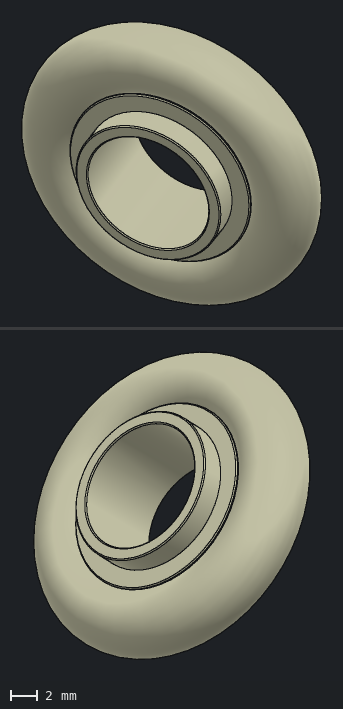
import cadquery as cq

outer_diameter = 24.3
ring_section_diameter = 5.35
hub_length = 8.0
hub_diameter = 12.0
bore_diameter = 10.0
flange_diameter = 15.0
flange_width = 4.0
edge_chamfer = 0.1

section_radius = ring_section_diameter / 2
ring_center_radius = outer_diameter / 2 - section_radius


def disc(diameter, width):
    """Cylinder along Y, centred on the origin."""
    return cq.Workplane("XZ", origin=(0, width / 2, 0)).circle(diameter / 2).extrude(width)


def make_ring():
    """Round-section ring around the Y axis."""
    return (
        cq.Workplane("XY")
        .center(ring_center_radius, 0)
        .circle(section_radius)
        .revolve(360, (-ring_center_radius, 0), (-ring_center_radius, 1))
    )


def make_hub(ring):
    """Flanged sleeve whose rim is grooved to seat the ring."""
    flange = disc(flange_diameter, flange_width).faces("<Y or >Y").edges().chamfer(edge_chamfer)
    sleeve = disc(hub_diameter, hub_length)
    bore = disc(bore_diameter, hub_length)
    body = sleeve.union(flange).cut(bore)
    body = body.faces("<Y or >Y").edges().chamfer(edge_chamfer)
    return body.cut(ring).solids()


ring = make_ring()
hub = make_hub(ring)

result = cq.Compound.makeCompound([hub.val(), ring.val()])